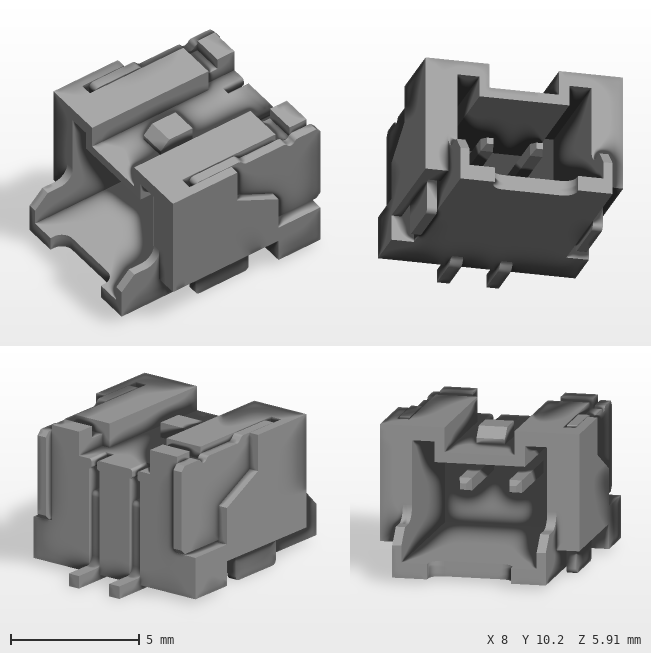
import cadquery as cq
import math


WIDTH = 8.0
HEIGHT = 5.7
LIP_DEPTH = 1.81
REAR_Y = 8.89
CORE_WIDTH = 6.16
WALL_BOTTOM_Z = 1.02

CAVITY_WIDTH = 5.43
CAVITY_FLOOR_Z = 0.61
CAVITY_TOP_Z = 5.12
ROOF_THICKNESS = 0.41
REAR_WALL = 1.5

CHANNEL_WIDTH = 2.82
CHANNEL_Z = 4.7
REAR_CHANNEL_WIDTH = 3.51
SHOULDER_Y = REAR_Y - REAR_WALL
GROOVE_LENGTH = 0.68
GROOVE_Z = 5.2
LATCH_WIDTH = 1.14
LATCH_FRONT_Y = 3.68
LATCH_LENGTH = 1.53
LATCH_HEIGHT = 0.62
LATCH_CHAMFER = 0.41

CHEEK_Z = 1.91
CHEEK_CHAMFER = 0.61
CHEEK_ARC = 0.61
LIP_CUTOUT_WIDTH = 3.37
LIP_CUTOUT_DEPTH = 0.68
LIP_CUTOUT_RADIUS = 0.51

SLOT_WIDTH = 0.51
SLOT_FRONT_Y = 2.9
LEDGE_FRONT_Y = 6.88
LEDGE_Z = 1.71
RAMP_LOW_Z = 3.22
RAMP_HIGH_Z = 4.2
RAMP_FRONT_Y = 4.91

PITCH = 2.0
PIN = 0.5
PIN_Z = 3.05
PIN_FRONT_Y = 3.21
PIN_TIP = 0.25
PIN_TAPER = 0.49
TAIL_END_Y = 10.2
DROP = 0.21
TAIL_THICKNESS = 0.52
LEG_FRONT_Y = 8.11
LEG_REAR_Y = 8.71
HEEL_RADIUS = 0.41
BEND_RADIUS = 0.33
TOP_BEND_RADIUS = 0.18
PIN_SLOT_WIDTH = 0.25
PIN_SLOT_LENGTH = 0.98
PIN_SLOT_ROUND = 0.12

TAB_THICKNESS = 0.41
TAB_GAP = 0.03
TAB_FRONT_Y = 3.2
TAB_REAR_Y = 9.21
TAB_BOTTOM_Z = 1.81
TAB_REAR_TOP_Z = 5.46
TAB_STEP_Y = 5.47
FOOT_REAR_Y = 5.76
TAB_RADIUS = 0.2
TAB_CHAMFER = 0.2
NOTCH_Y = 7.79
NOTCH_ARC_ANGLE = 60


def block(width, y0, y1, z0, z1, x=0):
    """Box centred on x, between the given Y and Z limits."""
    return cq.Workplane("XY").box(width, y1 - y0, z1 - z0).translate((x, (y0 + y1) / 2, (z0 + z1) / 2))


def side_profile(points, width, x=0):
    """Outline given as (y, z) points, extruded symmetrically about x."""
    return cq.Workplane("YZ").polyline(points).close().extrude(width / 2, both=True).translate((x, 0, 0))


def mirrored(shape):
    return shape.union(shape.mirror("YZ"))


def housing_blank():
    shell = block(WIDTH, LIP_DEPTH, REAR_Y, WALL_BOTTOM_Z, HEIGHT)
    core = block(CORE_WIDTH, LIP_DEPTH, REAR_Y, 0, HEIGHT)
    ledge = block(WIDTH, LEDGE_FRONT_Y, REAR_Y, 0, LEDGE_Z)
    return shell.union(core).union(ledge)


def lip():
    """Floor and two cheeks in front of the shell, with a rounded cutout in the floor."""
    body = (
        cq.Workplane("YZ")
        .moveTo(0, 0)
        .lineTo(LIP_DEPTH, 0)
        .lineTo(LIP_DEPTH, CHEEK_Z + CHEEK_ARC)
        .radiusArc((LIP_DEPTH - CHEEK_ARC, CHEEK_Z), CHEEK_ARC)
        .lineTo(CHEEK_CHAMFER, CHEEK_Z)
        .lineTo(0, CHEEK_Z - CHEEK_CHAMFER)
        .close()
        .extrude(CORE_WIDTH / 2, both=True)
    )
    cutout = block(LIP_CUTOUT_WIDTH, -LIP_CUTOUT_DEPTH, LIP_CUTOUT_DEPTH, 0, CAVITY_FLOOR_Z)
    return body.cut(cutout.edges("|Z and >Y").fillet(LIP_CUTOUT_RADIUS))


def cavity():
    """Mating space, lowered in the middle to clear the channel above it."""
    space = block(CAVITY_WIDTH, 0, SHOULDER_Y, CAVITY_FLOOR_Z, CAVITY_TOP_Z)
    roof = block(CHANNEL_WIDTH + 2 * ROOF_THICKNESS, 0, SHOULDER_Y, CHANNEL_Z - ROOF_THICKNESS, CAVITY_TOP_Z)
    return space.cut(roof)


def top_channel():
    channel = block(CHANNEL_WIDTH, LIP_DEPTH, REAR_Y, CHANNEL_Z, HEIGHT)
    rear = block(REAR_CHANNEL_WIDTH, SHOULDER_Y, REAR_Y, CHANNEL_Z, HEIGHT)
    groove = block(CORE_WIDTH, SHOULDER_Y, SHOULDER_Y + GROOVE_LENGTH, GROOVE_Z, HEIGHT)
    return channel.union(rear).union(groove)


def latch():
    ramp = block(LATCH_WIDTH, LATCH_FRONT_Y, LATCH_FRONT_Y + LATCH_LENGTH, CHANNEL_Z, CHANNEL_Z + LATCH_HEIGHT)
    return ramp.edges(">Z and <Y").chamfer(LATCH_CHAMFER)


def side_slots():
    """Tab slots open to the rear, with the outer walls cut away above the ledges."""
    slot_x = (CORE_WIDTH + SLOT_WIDTH) / 2
    slot = block(SLOT_WIDTH, SLOT_FRONT_Y, LEDGE_FRONT_Y, 0, HEIGHT, slot_x)
    opening_width = (WIDTH - CORE_WIDTH) / 2
    opening = side_profile(
        [
            (REAR_Y, LEDGE_Z),
            (LEDGE_FRONT_Y, LEDGE_Z),
            (LEDGE_FRONT_Y, RAMP_LOW_Z),
            (RAMP_FRONT_Y, RAMP_HIGH_Z),
            (RAMP_FRONT_Y, HEIGHT),
            (REAR_Y, HEIGHT),
        ],
        opening_width,
        (CORE_WIDTH + opening_width) / 2,
    )
    return mirrored(slot.union(opening))


def pin_slot(x):
    """Narrow slot through the roof with rounded edges, open to a recess for the contact leg below it."""
    half = PIN_SLOT_WIDTH / 2
    outer = half + PIN_SLOT_ROUND
    recess_top = CHANNEL_Z - ROOF_THICKNESS
    return (
        cq.Workplane("XZ", origin=(x, REAR_Y, 0))
        .moveTo(-outer, 0)
        .lineTo(-outer, recess_top)
        .radiusArc((-half, recess_top + PIN_SLOT_ROUND), -PIN_SLOT_ROUND)
        .lineTo(-half, CHANNEL_Z - PIN_SLOT_ROUND)
        .radiusArc((-outer, CHANNEL_Z), -PIN_SLOT_ROUND)
        .lineTo(outer, CHANNEL_Z)
        .radiusArc((half, CHANNEL_Z - PIN_SLOT_ROUND), -PIN_SLOT_ROUND)
        .lineTo(half, recess_top + PIN_SLOT_ROUND)
        .radiusArc((outer, recess_top), -PIN_SLOT_ROUND)
        .lineTo(outer, 0)
        .close()
        .extrude(PIN_SLOT_LENGTH)
    )


def contact(x):
    """Square pin with a tapered tip, bent down to a leg and back to a solder tail."""
    pin_top = PIN_Z + PIN / 2
    taper_y = PIN_FRONT_Y + PIN_TAPER
    tail_top = TAIL_THICKNESS - DROP
    body = (
        cq.Workplane("YZ")
        .moveTo(taper_y, PIN_Z - PIN / 2)
        .lineTo(LEG_FRONT_Y, PIN_Z - PIN / 2)
        .lineTo(LEG_FRONT_Y, HEEL_RADIUS - DROP)
        .radiusArc((LEG_FRONT_Y + HEEL_RADIUS, -DROP), -HEEL_RADIUS)
        .lineTo(TAIL_END_Y, -DROP)
        .lineTo(TAIL_END_Y, tail_top)
        .lineTo(LEG_REAR_Y + BEND_RADIUS, tail_top)
        .radiusArc((LEG_REAR_Y, tail_top + BEND_RADIUS), BEND_RADIUS)
        .lineTo(LEG_REAR_Y, pin_top - TOP_BEND_RADIUS)
        .radiusArc((LEG_REAR_Y - TOP_BEND_RADIUS, pin_top), -TOP_BEND_RADIUS)
        .lineTo(taper_y, pin_top)
        .close()
        .extrude(PIN / 2, both=True)
        .translate((x, 0, 0))
    )
    tip = (
        cq.Workplane("XZ", origin=(x, taper_y, PIN_Z))
        .rect(PIN, PIN)
        .workplane(offset=PIN_TAPER)
        .rect(PIN_TIP, PIN_TIP)
        .loft(ruled=True)
    )
    return body.union(tip)


def make_housing():
    body = housing_blank().union(lip()).cut(cavity()).cut(top_channel()).cut(side_slots()).union(latch())
    for x in (-PITCH / 2, PITCH / 2):
        body = body.cut(pin_slot(x)).union(contact(x))
    return body


def tab_notch(x):
    """Smooth dip in the top edge: two convex end arcs and a concave bottom, all of one radius."""
    angle = math.radians(NOTCH_ARC_ANGLE)
    run = TAB_RADIUS * math.sin(angle)
    fall = TAB_RADIUS * (1 - math.cos(angle))
    mid_z = TAB_REAR_TOP_Z - fall
    return (
        cq.Workplane("YZ")
        .moveTo(NOTCH_Y - 2 * run, TAB_REAR_TOP_Z)
        .radiusArc((NOTCH_Y - run, mid_z), TAB_RADIUS)
        .radiusArc((NOTCH_Y + run, mid_z), -TAB_RADIUS)
        .radiusArc((NOTCH_Y + 2 * run, TAB_REAR_TOP_Z), TAB_RADIUS)
        .close()
        .extrude(TAB_THICKNESS / 2, both=True)
        .translate((x, 0, 0))
    )


def make_tab(side):
    """Flat solder tab standing in one side slot; side is -1 or 1."""
    x = side * (CORE_WIDTH / 2 + SLOT_WIDTH - TAB_GAP - TAB_THICKNESS / 2)
    half_step = (HEIGHT - TAB_REAR_TOP_Z) / 2
    plate = side_profile(
        [
            (TAB_FRONT_Y, -DROP),
            (FOOT_REAR_Y, -DROP),
            (FOOT_REAR_Y, TAB_BOTTOM_Z),
            (TAB_REAR_Y, TAB_BOTTOM_Z),
            (TAB_REAR_Y, TAB_REAR_TOP_Z),
            (TAB_STEP_Y + half_step, TAB_REAR_TOP_Z),
            (TAB_STEP_Y - half_step, HEIGHT),
            (TAB_FRONT_Y, HEIGHT),
        ],
        TAB_THICKNESS,
        x,
    )
    plate = plate.edges("|X and (not >Y)").fillet(TAB_RADIUS)
    return plate.edges("|X and >Y").chamfer(TAB_CHAMFER).cut(tab_notch(x))


housing = make_housing()
tabs = [make_tab(side) for side in (-1, 1)]
result = cq.Compound.makeCompound([housing.val(), *[tab.val() for tab in tabs]])